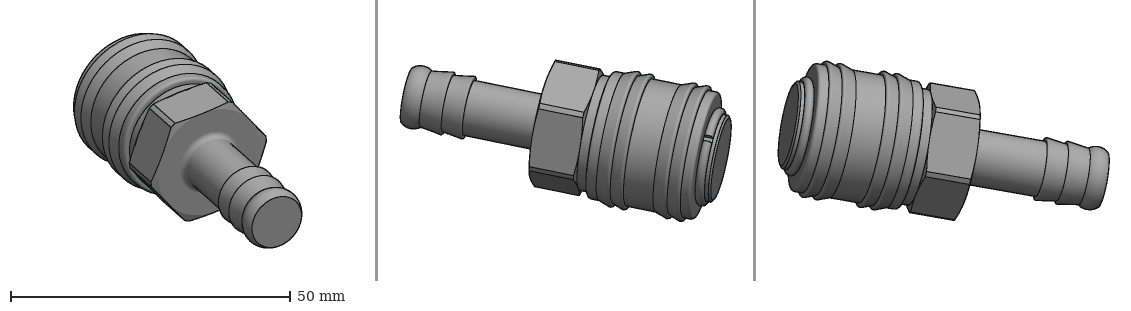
import cadquery as cq
import math


coupling_length = 58.0

boss_radius = 15.95 / 2
boss_face_radius = 14.95 / 2
boss_chamfer_length = 0.35
seat_start = 1.05
seat_radius = 16.1 / 2

sleeve_start = 2.7
sleeve_end = 22.15
sleeve_radius = 23.3 / 2
sleeve_rounding = 0.6

rib_pair_starts = (4.6, 15.1)
rib_pitch = 2.45
rib_length = 2.6
rib_radius = 24.8 / 2
rib_rounding = 0.435
rib_slope = math.radians(19.5)

collar_radius = 21.1 / 2
hex_start = 23.95
hex_end = 32.8
hex_across_flats = 21.0
hex_corner_radius = 23.65 / 2
hex_chamfer_angle = math.radians(15)
hex_turn = 22.0

stem_radius = 10.1 / 2
stem_root_fillet = 1.05
barb_radius = 11.5 / 2
barb_foot_radius = 10.3 / 2
barb_starts = (46.5, 50.4)
barb_rounding = 0.25
barb_slope = math.radians(8.5)
barb_length = 4.05
bead_start = 54.35
bead_crest = 56.25

ring_radius = 18.0 / 2
ring_gap_position = 15.0
ring_gap_angle = 7.0


def revolve_about_x(profile):
    """Turn a closed profile, drawn as (x, radius), once around the X axis."""
    return profile.close().revolve(360, (0, 0, 0), (1, 0, 0))


def cylinder_x(start, end, radius):
    return cq.Workplane("YZ", origin=(start, 0, 0)).circle(radius).extrude(end - start)


def make_boss():
    profile = (
        cq.Workplane("XY")
        .lineTo(0, boss_face_radius)
        .lineTo(boss_chamfer_length, boss_radius)
        .lineTo(seat_start, boss_radius)
        .lineTo(seat_start, seat_radius)
        .lineTo(sleeve_start, seat_radius)
        .lineTo(sleeve_start, 0)
    )
    return revolve_about_x(profile)


def make_ridge(start, length, crest_radius, foot_radius, rounding, slope):
    """Ridge with a steep front, and a rounded crest that runs tangent into its sloping back."""
    round_x = start + rounding
    round_radius = crest_radius - rounding
    slope_x = round_x + rounding * math.sin(slope)
    slope_radius = round_radius + rounding * math.cos(slope)
    profile = (
        cq.Workplane("XY")
        .moveTo(start, 0)
        .lineTo(start, round_radius)
        .radiusArc((slope_x, slope_radius), rounding)
        .lineTo(start + length, foot_radius)
        .lineTo(start + length, 0)
    )
    return revolve_about_x(profile)


def make_rib(start):
    return make_ridge(start, rib_length, rib_radius, sleeve_radius, rib_rounding, rib_slope)


def make_barb(start):
    return make_ridge(start, barb_length, barb_radius, barb_foot_radius, barb_rounding, barb_slope)


def make_sleeve():
    sleeve = cylinder_x(sleeve_start, sleeve_end, sleeve_radius).edges().fillet(sleeve_rounding)
    for pair_start in rib_pair_starts:
        for index in range(2):
            sleeve = sleeve.union(make_rib(pair_start + index * rib_pitch))
    return sleeve


def make_hexagon():
    """Hexagon whose corners are turned round and chamfered down to the flats at both ends."""
    flat_radius = hex_across_flats / 2
    chamfer_length = (hex_corner_radius - flat_radius) * math.tan(hex_chamfer_angle)
    prism = (
        cq.Workplane("YZ", origin=(hex_start, 0, 0))
        .polygon(6, hex_across_flats, circumscribed=True)
        .extrude(hex_end - hex_start)
        .rotate((0, 0, 0), (1, 0, 0), -hex_turn)
    )
    blank = (
        cq.Workplane("XY")
        .moveTo(hex_start, 0)
        .lineTo(hex_start, flat_radius)
        .lineTo(hex_start + chamfer_length, hex_corner_radius)
        .lineTo(hex_end - chamfer_length, hex_corner_radius)
        .lineTo(hex_end, flat_radius)
        .lineTo(hex_end, 0)
    )
    return prism.intersect(revolve_about_x(blank))


def make_stem():
    profile = (
        cq.Workplane("XY")
        .moveTo(hex_end, 0)
        .lineTo(hex_end, stem_radius + stem_root_fillet)
        .radiusArc((hex_end + stem_root_fillet, stem_radius), -stem_root_fillet)
        .lineTo(bead_start, stem_radius)
        .threePointArc((bead_crest, barb_radius), (coupling_length, stem_radius))
        .lineTo(coupling_length, 0)
    )
    return revolve_about_x(profile)


def make_coupling():
    coupling = make_boss().union(make_sleeve())
    coupling = coupling.union(cylinder_x(sleeve_end, hex_start, collar_radius))
    coupling = coupling.union(make_hexagon()).union(make_stem())
    for start in barb_starts:
        coupling = coupling.union(make_barb(start))
    return coupling


def make_snap_ring():
    """Ring with a half-round crown, closed round the seat except for its radial gap."""
    crown_radius = (sleeve_start - seat_start) / 2
    shoulder = ring_radius - crown_radius
    gap_start = ring_gap_position - ring_gap_angle / 2
    return (
        cq.Workplane("XY")
        .moveTo(seat_start, seat_radius)
        .lineTo(seat_start, shoulder)
        .radiusArc((sleeve_start, shoulder), crown_radius)
        .lineTo(sleeve_start, seat_radius)
        .close()
        .revolve(360 - ring_gap_angle, (0, 0, 0), (1, 0, 0))
        .rotate((0, 0, 0), (1, 0, 0), 90 - gap_start)
    )


coupling = make_coupling()
snap_ring = make_snap_ring()

result = cq.Compound.makeCompound([coupling.val(), snap_ring.val()])